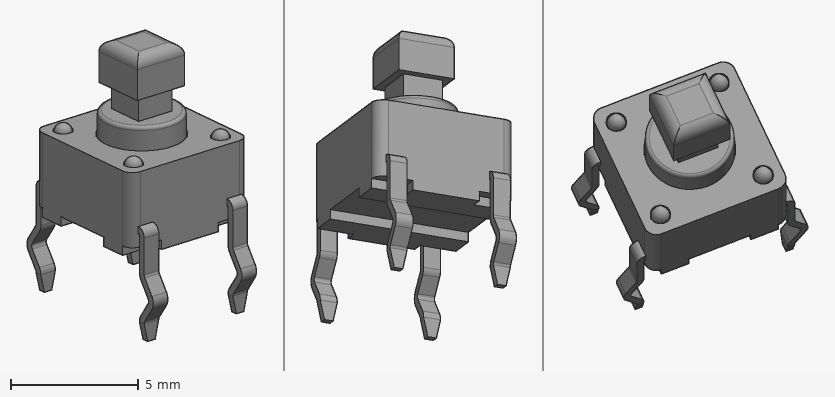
import cadquery as cq
import math

total_height = 11.05
housing_side = 6.0
housing_bottom = 3.54
housing_height = 3.6
housing_top = housing_bottom + housing_height
corner_radius = 0.5

foot_height = 0.4
slot_width = 2.65
corner_relief_length = 1.56

pip_diameter = 0.75
pip_well_diameter = 0.8
pip_well_depth = 0.08
pip_offset = 2.2

bore_diameter = 3.6
bore_depth = 1.0
collar_diameter = 3.5
collar_height = 1.01
collar_top = housing_top + collar_height
collar_edge_radius = 0.15
stem_side = 1.7
cap_side = 2.4
cap_height = 1.81
cap_edge_radius = 0.5

leg_span = 7.89
leg_thickness = 0.3
leg_width = 0.74
leg_offset_y = 2.24
leg_center_x = 3.23
leg_top = 4.83
shoulder_outer_radius = 0.38
kink_outer_radius = 0.5
kink_angle = math.radians(34.5)
tip_length = 0.8
tip_end_width = 0.38


def square_block(side, bottom, top):
    """Square prism centred on the Z axis between two heights."""
    return cq.Workplane("XY").workplane(offset=bottom).rect(side, side).extrude(top - bottom)


def disc(diameter, bottom, top):
    """Cylinder on the Z axis between two heights."""
    return cq.Workplane("XY").workplane(offset=bottom).circle(diameter / 2).extrude(top - bottom)


def corner_positions(x, y):
    """The four points at plus and minus x, plus and minus y."""
    return [(sx * x, sy * y) for sx in (-1, 1) for sy in (-1, 1)]


def make_relief():
    """Material removed from the underside: a slot along Y and a pocket at each corner."""
    relief = cq.Workplane("XY").workplane(offset=housing_bottom)
    slot = relief.rect(slot_width, housing_side).extrude(foot_height)
    pocket_x = (housing_side - corner_radius) / 2
    pocket_y = (housing_side - corner_relief_length) / 2
    pockets = (
        relief.pushPoints(corner_positions(pocket_x, pocket_y))
        .rect(corner_radius, corner_relief_length)
        .extrude(foot_height)
    )
    return slot.union(pockets)


def make_pip_well(x, y):
    """Shallow round well that leaves a thin gap around a pip."""
    well = disc(pip_well_diameter, housing_top - pip_well_depth, housing_top)
    return well.translate((x, y, 0))


def make_pip(x, y):
    """Half ball standing on the floor of its well."""
    half_ball = cq.Workplane("XY").sphere(pip_diameter / 2, angle1=0)
    return half_ball.translate((x, y, housing_top - pip_well_depth))


def make_leg():
    """Leg on the +X side, centred on Y = 0: a flat strip bent along a centre line."""
    half_thickness = leg_thickness / 2
    shoulder_radius = shoulder_outer_radius - half_thickness
    kink_radius = kink_outer_radius - half_thickness
    bulge_x = (leg_span - leg_thickness) / 2
    root_x = housing_side / 2 - leg_thickness
    root_z = leg_top - half_thickness

    arc_dx = kink_radius * (1 - math.cos(kink_angle))
    arc_dz = kink_radius * math.sin(kink_angle)
    slant_dx = bulge_x - leg_center_x - 2 * arc_dx
    slant_dz = slant_dx / math.tan(kink_angle)
    lower_arc_top = tip_length + arc_dz
    bulge_arc_bottom = lower_arc_top + slant_dz
    bulge_arc_top = bulge_arc_bottom + 2 * arc_dz
    upper_arc_bottom = bulge_arc_top + slant_dz
    upper_arc_top = upper_arc_bottom + arc_dz

    center_line = (
        cq.Workplane("XZ")
        .moveTo(root_x, root_z)
        .lineTo(leg_center_x - shoulder_radius, root_z)
        .tangentArcPoint((leg_center_x, root_z - shoulder_radius), relative=False)
        .lineTo(leg_center_x, upper_arc_top)
        .tangentArcPoint((leg_center_x + arc_dx, upper_arc_bottom), relative=False)
        .lineTo(bulge_x - arc_dx, bulge_arc_top)
        .tangentArcPoint((bulge_x - arc_dx, bulge_arc_bottom), relative=False)
        .lineTo(leg_center_x + arc_dx, lower_arc_top)
        .tangentArcPoint((leg_center_x, tip_length), relative=False)
        .lineTo(leg_center_x, 0)
    )
    strip = (
        cq.Workplane("YZ", origin=(root_x, 0, root_z))
        .rect(leg_width, leg_thickness)
        .sweep(center_line)
    )

    side_outline = (
        cq.Workplane("YZ")
        .moveTo(-tip_end_width / 2, 0)
        .lineTo(tip_end_width / 2, 0)
        .lineTo(leg_width / 2, tip_length)
        .lineTo(leg_width / 2, leg_top)
        .lineTo(-leg_width / 2, leg_top)
        .lineTo(-leg_width / 2, tip_length)
        .close()
        .extrude(leg_span)
    )
    return strip.intersect(side_outline)


def make_housing():
    """Block with its underside relief, plunger bore, four pips and four legs."""
    body = square_block(housing_side, housing_bottom, housing_top)
    body = body.edges("|Z").fillet(corner_radius)
    body = body.cut(make_relief())
    body = body.cut(disc(bore_diameter, housing_top - bore_depth, housing_top))
    for x, y in corner_positions(pip_offset, pip_offset):
        body = body.cut(make_pip_well(x, y)).union(make_pip(x, y))
    right_leg = make_leg()
    left_leg = right_leg.mirror("YZ")
    for leg in (right_leg, left_leg):
        for side in (-1, 1):
            body = body.union(leg.translate((0, side * leg_offset_y, 0)))
    return body


def make_plunger():
    """Round collar resting on the bore floor, with a square stem and cap above it."""
    collar = disc(collar_diameter, housing_top - bore_depth, collar_top)
    collar = collar.faces(">Z").edges().fillet(collar_edge_radius)
    cap_bottom = total_height - cap_height
    stem = square_block(stem_side, collar_top, cap_bottom)
    cap = square_block(cap_side, cap_bottom, total_height)
    cap = cap.faces(">Z").edges().fillet(cap_edge_radius)
    return collar.union(stem).union(cap)


housing = make_housing()
plunger = make_plunger()
result = cq.Compound.makeCompound([housing.val(), plunger.val()])